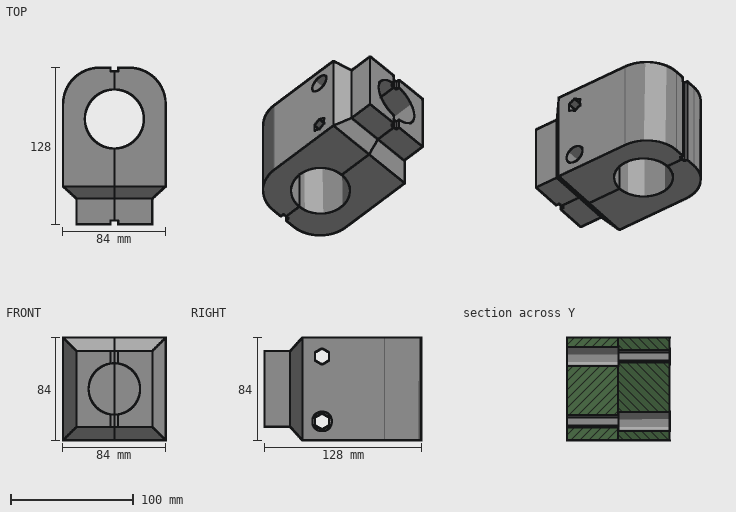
import cadquery as cq

block_size = 84.0
half_size = block_size / 2
corner_radius = 30.0
upright_bore_diameter = 48.0

total_length = 128.0
nose_end_y = half_size - total_length
nose_size = 62.0
nose_length = 21.0
taper_length = 10.0
taper_end_y = nose_end_y + nose_length
taper_start_y = taper_end_y + taper_length

nose_bore_diameter = 42.0
nose_bore_depth = 40.0
nose_bore_floor_y = nose_end_y + nose_bore_depth

groove_width = 6.0
groove_depth = 3.0

clamp_hole_y = -39.0
clamp_hole_z = 26.5
round_hole_diameter = 16.0
hex_across_corners = 13.0


def make_block():
    block_length = half_size - taper_start_y
    block = cq.Workplane("XY").box(block_size, block_length, block_size)
    block = block.translate((0, half_size - block_length / 2, 0))
    return block.edges("|Z and >Y").fillet(corner_radius)


def make_nose():
    taper = (
        cq.Workplane("XZ", origin=(0, taper_start_y, 0))
        .rect(block_size, block_size)
        .workplane(offset=taper_length)
        .rect(nose_size, nose_size)
        .loft(ruled=True)
    )
    tip = (
        cq.Workplane("XZ", origin=(0, taper_end_y, 0))
        .rect(nose_size, nose_size)
        .extrude(nose_length)
    )
    return taper.union(tip)


def make_upright_bore():
    return cq.Workplane("XY").circle(upright_bore_diameter / 2).extrude(half_size, both=True)


def make_nose_bore():
    return (
        cq.Workplane("XZ", origin=(0, nose_bore_floor_y, 0))
        .circle(nose_bore_diameter / 2)
        .extrude(nose_bore_depth)
    )


def make_end_grooves():
    groove = cq.Workplane("XY").box(groove_width, groove_depth, block_size)
    back_groove = groove.translate((0, half_size - groove_depth / 2, 0))
    nose_groove = groove.translate((0, nose_end_y + groove_depth / 2, 0))
    return back_groove.union(nose_groove)


def make_clamp_holes():
    """Round upper hole and hexagonal lower hole through the -X half."""
    outer_face = cq.Workplane("YZ", origin=(-half_size, clamp_hole_y, 0))
    round_hole = (
        outer_face.center(0, clamp_hole_z)
        .circle(round_hole_diameter / 2)
        .extrude(half_size)
    )
    hex_hole = (
        outer_face.center(0, -clamp_hole_z)
        .transformed(rotate=(0, 0, 90))
        .polygon(6, hex_across_corners)
        .extrude(half_size)
    )
    return round_hole.union(hex_hole)


def make_clamp_half():
    """The -X half of the clamp, split on the plane X = 0."""
    clamp = make_block().union(make_nose())
    clamp = clamp.cut(make_upright_bore()).cut(make_nose_bore()).cut(make_end_grooves())
    half_space = cq.Workplane("XY").box(half_size, 2 * total_length, block_size)
    half = clamp.intersect(half_space.translate((-half_size / 2, 0, 0)))
    return half.cut(make_clamp_holes())


clamp_halves = []
for turn in (0, 180):
    clamp_half = make_clamp_half().rotate((0, 0, 0), (0, 1, 0), turn)
    clamp_halves.extend(clamp_half.solids().vals())

result = cq.Compound.makeCompound(clamp_halves)